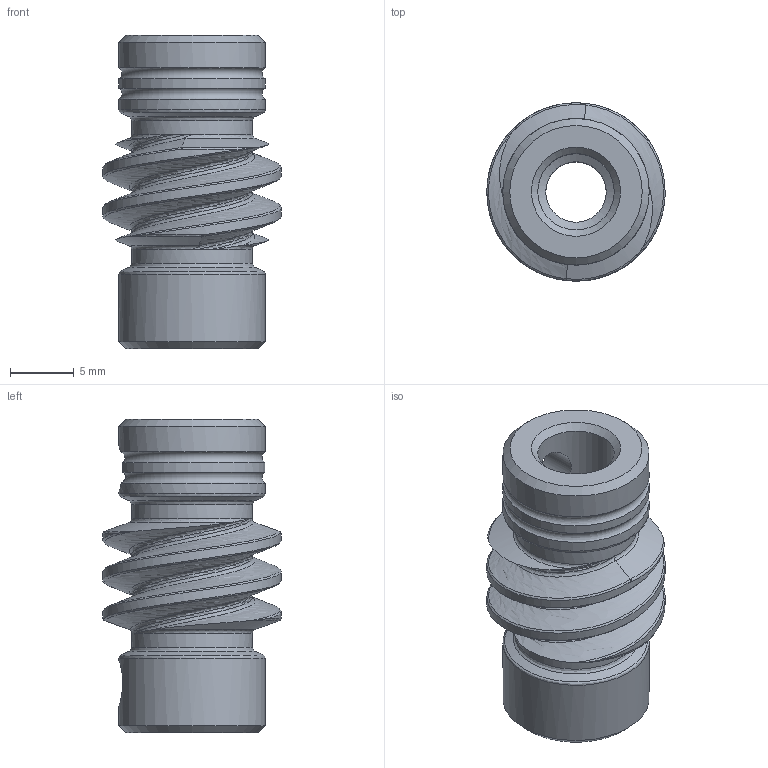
import cadquery as cq
import math

length = 24.6
mid_z = length / 2

collar_radius = 5.75
collar_length = 5.85
collar_chamfer = 0.55
neck_radius = 4.75
shoulder_angle = math.radians(25)
collar_round = 0.25
neck_round = 0.35
selection_margin = 0.01

module = 1.0
starts = 2
tip_radius = 7.0
pitch_radius = tip_radius - module
root_step = 0.01
root_radius = neck_radius - root_step
pressure_angle = math.radians(20)
flank_slope = math.tan(pressure_angle)
pitch = math.pi * module
lead = starts * pitch
tip_round = 0.2
tip_stock = 0.004
root_round = 0.3
curve_steps = 2

worm_rim_length = 6.9
end_round = 0.3
end_round_height = end_round * math.tan((math.pi / 2 - pressure_angle) / 2)
cone_height = (tip_radius - neck_radius) * flank_slope
worm_length = worm_rim_length + 2 * (cone_height + end_round_height)
trim_margin = 1.0

groove_heights = (20.03, 21.61)
groove_section_radius = 0.5
groove_depth = 0.25

large_bore_radius = 3.0
small_bore_radius = 2.375
bore_chamfer = 0.5
drill_half_angle = math.radians(59)

screw_hole_radius = 1.85
screw_hole_inset = 3.9


def revolve_about_z(profile):
    """Full turn of a profile drawn in the XZ plane as (radius, height)."""
    return profile.close().revolve(360, (0, 0, 0), (0, 1, 0))


def space_half_width(radius):
    """Half the axial width of a straight-sided tooth space at a radius."""
    return pitch / 4 + (radius - pitch_radius) * flank_slope


def section_point(radius, axial):
    """A point at an axial distance along the worm, wound into its cross-section."""
    angle = 2 * math.pi * axial / lead
    return cq.Vector(radius * math.cos(angle), radius * math.sin(angle))


def round_points(center, size, start_angle, end_angle):
    """Points of a round in (radius, axial) coordinates."""
    points = []
    for step in range(curve_steps + 1):
        angle = start_angle + (end_angle - start_angle) * step / curve_steps
        points.append((center[0] + size * math.cos(angle), center[1] + size * math.sin(angle)))
    return points


def flank_curves():
    """Root round, straight flank and tip round of one side of a tooth space."""
    root_center_radius = root_radius + root_round
    tip_center_radius = tip_radius + tip_stock - tip_round
    root_center = (root_center_radius,
                   space_half_width(root_center_radius) - root_round / math.cos(pressure_angle))
    tip_center = (tip_center_radius,
                  space_half_width(tip_center_radius) + tip_round / math.cos(pressure_angle))
    root_contact = math.pi / 2 + pressure_angle
    root_curve = round_points(root_center, root_round, math.pi, root_contact)
    tip_curve = round_points(tip_center, tip_round, root_contact - math.pi, 0)
    inner_radius = root_curve[-1][0]
    outer_radius = tip_curve[0][0]
    flank = []
    for step in range(curve_steps + 1):
        radius = inner_radius + (outer_radius - inner_radius) * step / curve_steps
        flank.append((radius, space_half_width(radius)))
    return root_curve, flank, tip_curve


def section_arc(radius, start, end):
    """Circular edge of the cross-section between two axial positions."""
    return cq.Edge.makeThreePointArc(
        section_point(radius, start),
        section_point(radius, (start + end) / 2),
        section_point(radius, end),
    )


def worm_section():
    """Cross-section of the worm, with a tooth space centered on +X."""
    curves = flank_curves()
    root_half = curves[0][0][1]
    tip_half = curves[-1][-1][1]
    edges = []
    for start in range(starts):
        center = start * pitch
        edges.append(section_arc(root_radius, center - root_half, center + root_half))
        edges.append(section_arc(tip_radius + tip_stock, center + tip_half, center + pitch - tip_half))
        for curve in curves:
            for side in (1, -1):
                points = [section_point(radius, center + side * axial) for radius, axial in curve]
                edges.append(cq.Edge.makeSpline(points))
    return cq.Wire.assembleEdges(edges)


def make_worm_trim():
    """Ring that turns the worm to its tip cylinder, conical ends and rounds at the necks."""
    half = worm_length / 2
    outer = tip_radius + trim_margin
    quarter = math.pi / 2
    neck_center = (neck_radius + end_round, half)
    rim_tangent = tip_round * math.tan((quarter - pressure_angle) / 2)
    rim_center = (tip_radius - tip_round, worm_rim_length / 2 - rim_tangent)

    def on_round(center, size, angle, end):
        radius = center[0] + size * math.cos(angle)
        height = center[1] + size * math.sin(angle)
        return (radius, end * height)

    def on_neck(angle, end):
        return on_round(neck_center, end_round, angle, end)

    def on_rim(angle, end):
        return on_round(rim_center, tip_round, angle, end)

    neck_contact = 3 * quarter - pressure_angle
    neck_middle = (math.pi + neck_contact) / 2
    rim_contact = quarter - pressure_angle
    rim_middle = rim_contact / 2
    profile = (
        cq.Workplane("XZ")
        .moveTo(neck_radius, half)
        .threePointArc(on_neck(neck_middle, 1), on_neck(neck_contact, 1))
        .lineTo(*on_rim(rim_contact, 1))
        .threePointArc(on_rim(rim_middle, 1), on_rim(0, 1))
        .lineTo(*on_rim(0, -1))
        .threePointArc(on_rim(rim_middle, -1), on_rim(rim_contact, -1))
        .lineTo(*on_neck(neck_contact, -1))
        .threePointArc(on_neck(neck_middle, -1), (neck_radius, -half))
        .lineTo(neck_radius, -half - trim_margin)
        .lineTo(outer, -half - trim_margin)
        .lineTo(outer, half + trim_margin)
        .lineTo(neck_radius, half + trim_margin)
    )
    return revolve_about_z(profile)


def make_worm():
    """Twisted worm turned to its envelope, with tooth spaces on the X axis at mid length."""
    twist = 360 * worm_length / lead
    blank = cq.Solid.extrudeLinearWithRotation(
        worm_section(), [], cq.Vector(0, 0, 0), cq.Vector(0, 0, worm_length), twist
    )
    worm = cq.Workplane(obj=blank).rotate((0, 0, 0), (0, 0, 1), -twist / 2)
    worm = worm.translate((0, 0, -worm_length / 2)).cut(make_worm_trim())
    return worm.translate((0, 0, mid_z))


def round_rim(body, height, size):
    """Fillet the circular edge lying in the plane at a height."""
    reach = 2 * tip_radius
    slab = cq.selectors.BoxSelector(
        (-reach, -reach, height - selection_margin),
        (reach, reach, height + selection_margin),
        boundingbox=True,
    )
    return body.edges(slab).fillet(size)


def make_lower_end():
    """Collar, rounded shoulder and neck below the worm."""
    worm_bottom = mid_z - worm_length / 2
    shoulder_bottom = collar_length + collar_round * math.tan((math.pi / 2 - shoulder_angle) / 2)
    shoulder_top = shoulder_bottom + (collar_radius - neck_radius) * math.tan(shoulder_angle)
    profile = (
        cq.Workplane("XZ")
        .lineTo(collar_radius - collar_chamfer, 0)
        .lineTo(collar_radius, collar_chamfer)
        .lineTo(collar_radius, shoulder_bottom)
        .lineTo(neck_radius, shoulder_top)
        .lineTo(neck_radius, worm_bottom)
        .lineTo(0, worm_bottom)
    )
    body = revolve_about_z(profile)
    body = round_rim(body, shoulder_bottom, collar_round)
    return round_rim(body, shoulder_top, neck_round)


def cut_ring_grooves(body):
    """Cut the round-bottomed rings into the upper collar."""
    ring_radius = collar_radius - groove_depth + groove_section_radius
    for height in groove_heights:
        ring = cq.Solid.makeTorus(ring_radius, groove_section_radius, cq.Vector(0, 0, height))
        body = body.cut(cq.Workplane(obj=ring))
    return body


def make_bore():
    """Small bore from below, opening through a drill-point cone into the large bore."""
    cone_depth = (large_bore_radius - small_bore_radius) / math.tan(drill_half_angle)
    profile = (
        cq.Workplane("XZ")
        .lineTo(small_bore_radius + bore_chamfer, 0)
        .lineTo(small_bore_radius, bore_chamfer)
        .lineTo(small_bore_radius, mid_z - cone_depth)
        .lineTo(large_bore_radius, mid_z)
        .lineTo(large_bore_radius, length - bore_chamfer)
        .lineTo(large_bore_radius + bore_chamfer, length)
        .lineTo(0, length)
    )
    return revolve_about_z(profile)


def make_screw_hole(height):
    """Cylinder from the axis out through the +Y wall."""
    return (
        cq.Workplane("XZ", origin=(0, 0, height))
        .circle(screw_hole_radius)
        .extrude(-tip_radius)
    )


lower_end = make_lower_end()
upper_end = cut_ring_grooves(lower_end.mirror("XY").translate((0, 0, length)))
result = make_worm().union(lower_end).union(upper_end)
result = result.cut(make_bore())
for hole_height in (screw_hole_inset, length - screw_hole_inset):
    result = result.cut(make_screw_hole(hole_height))